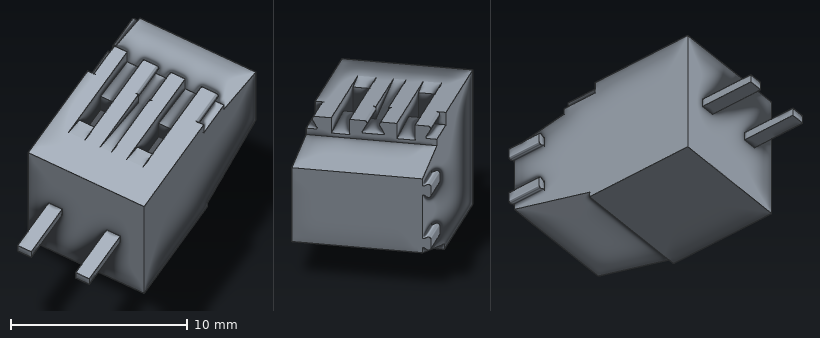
import math
import cadquery as cq


RAMP_ANGLE = math.radians(10)

EMBED = 0.2

BODY_WIDTH = 7.62
BODY_LENGTH = 12.6
BODY_HEIGHT = 8.2
TOP_STEP_Y = BODY_LENGTH - 3.6
TOP_STEP_Z = 7.05
BOTTOM_STEP_Y = BODY_LENGTH - 5.46
BOTTOM_STEP_Z = 0.34
REAR_TOP_Z = TOP_STEP_Z - (BODY_LENGTH - TOP_STEP_Y) * math.tan(RAMP_ANGLE)
REAR_BOTTOM_Z = 1.9

PIN_WIDTH = 0.9
PIN_HEIGHT = 0.53
PIN_LENGTH = 3.5
PIN_PITCH = 3.81
FIRST_PIN_X = 1.8
PIN_Z = BODY_HEIGHT / 2
PIN_CENTERS_X = [FIRST_PIN_X, FIRST_PIN_X + PIN_PITCH]

DOVETAIL_ANGLE = math.radians(30)
ROOT_RADIUS = 0.06

RIB_LENGTH = 2.2
RIB_PROTRUSION = 0.5
RIB_TIP_HALF_WIDTH = 0.24
RIB_TIP_RADIUS = 0.16
RIB_CENTERS_Z = [2.5, 5.71]

SLOT_WIDTH = 1.07
SLOT_END_Y = BODY_LENGTH - 10.2
RAMP_LENGTH = 1.2
SLOT_WELL_DEPTH = 2.0
SLOT_WELL_LENGTH = 2.4
SLOT_MOUTH_DEPTH = 0.93
SLOT_SHELF_DEPTH = 0.74

MIDDLE_GROOVE_X = FIRST_PIN_X + PIN_PITCH / 2
GROOVE_CENTERS_X = [0, MIDDLE_GROOVE_X, BODY_WIDTH]
GROOVE_LENGTH = 2.28
GROOVE_HALF_WIDTH = 0.365
GROOVE_LIP_RADIUS = 0.16
GROOVE_FRONT_Y = TOP_STEP_Y - GROOVE_LENGTH
GROOVE_DEPTH = (GROOVE_FRONT_Y - SLOT_END_Y) * math.tan(RAMP_ANGLE)


def extrude_along_x(outline, center_x, width):
    """Extrude a YZ outline symmetrically about center_x."""
    return outline.close().extrude(width / 2, both=True).translate((center_x, 0, 0))


def extrude_along_y(outline, start_y, end_y):
    """Extrude an XZ outline from start_y back to end_y."""
    return outline.close().extrude(start_y - end_y).translate((0, start_y, 0))


def make_body():
    """Main block with its rear tapered at the top and bottom behind small steps."""
    outline = cq.Workplane("YZ").polyline([
        (0, 0),
        (BOTTOM_STEP_Y, 0),
        (BOTTOM_STEP_Y, BOTTOM_STEP_Z),
        (BODY_LENGTH, REAR_BOTTOM_Z),
        (BODY_LENGTH, REAR_TOP_Z),
        (TOP_STEP_Y, TOP_STEP_Z),
        (TOP_STEP_Y, BODY_HEIGHT),
        (0, BODY_HEIGHT),
    ])
    return extrude_along_x(outline, BODY_WIDTH / 2, BODY_WIDTH)


def make_pin(center_x):
    """Rectangular solder pin standing out of the front face."""
    return cq.Workplane("XY").box(
        PIN_WIDTH, PIN_LENGTH + EMBED, PIN_HEIGHT, centered=(True, False, True)
    ).translate((center_x, -PIN_LENGTH, PIN_Z))


def make_rib(center_z):
    """Dovetail rib with rounded tip corners and filleted roots, narrowing toward the left face."""
    r = RIB_TIP_RADIUS
    arc_x = r - RIB_PROTRUSION
    flank_x = arc_x + r * math.sin(DOVETAIL_ANGLE)
    flank_z = RIB_TIP_HALF_WIDTH + r * math.cos(DOVETAIL_ANGLE)
    neck_z = flank_z + flank_x * math.tan(DOVETAIL_ANGLE)
    mid_angle = (math.pi / 2 + DOVETAIL_ANGLE) / 2
    mid_x = arc_x - r * math.cos(mid_angle)
    mid_z = RIB_TIP_HALF_WIDTH + r * math.sin(mid_angle)
    root_half_width = RIB_TIP_HALF_WIDTH + r + ROOT_RADIUS
    outline = (
        cq.Workplane("XZ")
        .moveTo(EMBED, -root_half_width)
        .lineTo(EMBED, root_half_width)
        .lineTo(0, root_half_width)
        .lineTo(0, neck_z)
        .lineTo(flank_x, flank_z)
        .threePointArc((mid_x, mid_z), (-RIB_PROTRUSION, RIB_TIP_HALF_WIDTH))
        .lineTo(-RIB_PROTRUSION, -RIB_TIP_HALF_WIDTH)
        .threePointArc((mid_x, -mid_z), (flank_x, -flank_z))
        .lineTo(0, -neck_z)
        .lineTo(0, -root_half_width)
    )
    rib = extrude_along_y(outline, BODY_LENGTH - RIB_LENGTH, BODY_LENGTH)
    root_zone = cq.selectors.BoxSelector(
        (-ROOT_RADIUS / 2, 0, -neck_z - ROOT_RADIUS / 2),
        (ROOT_RADIUS / 2, BODY_LENGTH, neck_z + ROOT_RADIUS / 2),
    )
    rib = rib.edges("|Y").edges(root_zone).fillet(ROOT_RADIUS)
    return rib.translate((0, 0, center_z))


def make_groove(center_x):
    """Cutter for a dovetail groove with rounded lips and roots, open at the top and rear."""
    r = GROOVE_LIP_RADIUS
    lip_x = GROOVE_HALF_WIDTH + r
    lip_z = BODY_HEIGHT - r
    flank_x = lip_x - r * math.cos(DOVETAIL_ANGLE)
    flank_z = lip_z - r * math.sin(DOVETAIL_ANGLE)
    floor_z = BODY_HEIGHT - GROOVE_DEPTH
    floor_x = flank_x + (flank_z - floor_z) * math.tan(DOVETAIL_ANGLE)
    outline = (
        cq.Workplane("XZ")
        .moveTo(-floor_x, floor_z)
        .lineTo(floor_x, floor_z)
        .lineTo(flank_x, flank_z)
        .threePointArc((GROOVE_HALF_WIDTH, lip_z), (lip_x, BODY_HEIGHT))
        .lineTo(-lip_x, BODY_HEIGHT)
        .threePointArc((-GROOVE_HALF_WIDTH, lip_z), (-flank_x, flank_z))
    )
    groove = extrude_along_y(outline, GROOVE_FRONT_Y, TOP_STEP_Y)
    groove = groove.faces("<Z").edges("|Y").fillet(ROOT_RADIUS)
    return groove.translate((center_x, 0, 0))


def make_slot(center_x):
    """Cutter for a wire slot: front ramp, deep well, then a shelf falling to the rear."""
    ramp_y = SLOT_END_Y + RAMP_LENGTH
    ramp_z = BODY_HEIGHT - RAMP_LENGTH * math.tan(RAMP_ANGLE)
    well_y = ramp_y + SLOT_WELL_LENGTH
    well_z = BODY_HEIGHT - SLOT_WELL_DEPTH
    outline = cq.Workplane("YZ").polyline([
        (SLOT_END_Y, BODY_HEIGHT),
        (ramp_y, ramp_z),
        (ramp_y, well_z),
        (well_y, well_z),
        (well_y, BODY_HEIGHT - SLOT_SHELF_DEPTH),
        (TOP_STEP_Y, BODY_HEIGHT - SLOT_MOUTH_DEPTH),
        (TOP_STEP_Y, BODY_HEIGHT),
    ])
    return extrude_along_x(outline, center_x, SLOT_WIDTH)


def make_wedge(center_x):
    """Cutter for the sloped recess that runs down to the floor of the middle groove."""
    outline = cq.Workplane("YZ").polyline([
        (SLOT_END_Y, BODY_HEIGHT),
        (GROOVE_FRONT_Y, BODY_HEIGHT - GROOVE_DEPTH),
        (GROOVE_FRONT_Y, BODY_HEIGHT),
    ])
    return extrude_along_x(outline, center_x, 2 * GROOVE_HALF_WIDTH)


result = make_body()
for x in GROOVE_CENTERS_X:
    result = result.cut(make_groove(x))
for x in PIN_CENTERS_X:
    result = result.cut(make_slot(x))
result = result.cut(make_wedge(MIDDLE_GROOVE_X))
for x in PIN_CENTERS_X:
    result = result.union(make_pin(x))
for z in RIB_CENTERS_Z:
    result = result.union(make_rib(z))